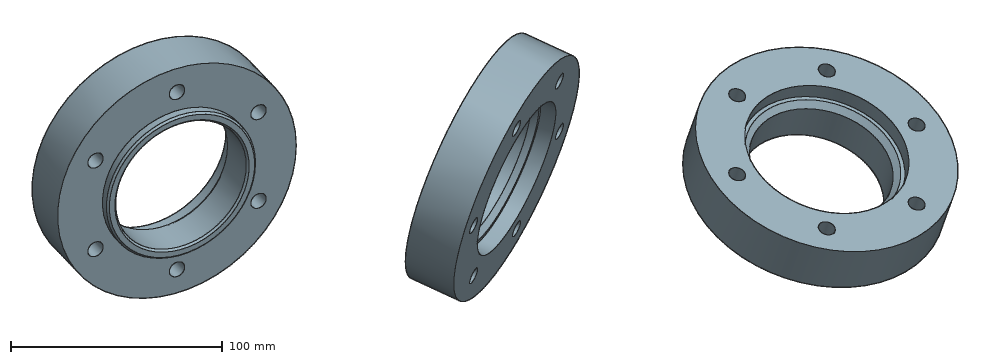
import cadquery as cq

flange_diameter = 128.0
total_length = 31.0
spigot_length = 5.0
flange_thickness = total_length - spigot_length

spigot_diameter = 80.0
spigot_chamfer = 1.0
recess_diameter = spigot_diameter
recess_depth = 8.0

bore_diameter = 70.0
lead_in_diameter = 76.0
lead_in_depth = (lead_in_diameter - bore_diameter) / 2

exit_chamfer_size = 1.0
exit_diameter = bore_diameter + 2 * exit_chamfer_size

bolt_count = 6
bolt_hole_diameter = 8.2
bolt_circle_diameter = 101.0


def disc(diameter, start, length):
    """Cylinder on the X axis beginning at X = start."""
    return cq.Workplane("YZ", origin=(start, 0, 0)).circle(diameter / 2).extrude(length)


def cone(start_diameter, end_diameter, start, length):
    """Truncated cone on the X axis beginning at X = start."""
    return (
        cq.Workplane("YZ", origin=(start, 0, 0))
        .circle(start_diameter / 2)
        .workplane(offset=length)
        .circle(end_diameter / 2)
        .loft()
    )


def make_body():
    flange = disc(flange_diameter, 0, flange_thickness)
    spigot = disc(spigot_diameter, flange_thickness, spigot_length)
    spigot = spigot.faces(">X").edges().chamfer(spigot_chamfer)
    return flange.union(spigot)


def make_bore():
    recess = disc(recess_diameter, 0, recess_depth)
    bore = disc(bore_diameter, 0, total_length)
    lead_in = cone(lead_in_diameter, bore_diameter, recess_depth, lead_in_depth)
    exit_chamfer = cone(
        bore_diameter, exit_diameter, total_length - exit_chamfer_size, exit_chamfer_size
    )
    return recess.union(bore).union(lead_in).union(exit_chamfer)


def make_bolt_holes():
    return (
        cq.Workplane("YZ")
        .polarArray(bolt_circle_diameter / 2, 90, 360, bolt_count)
        .circle(bolt_hole_diameter / 2)
        .extrude(flange_thickness)
    )


result = make_body().cut(make_bore()).cut(make_bolt_holes())